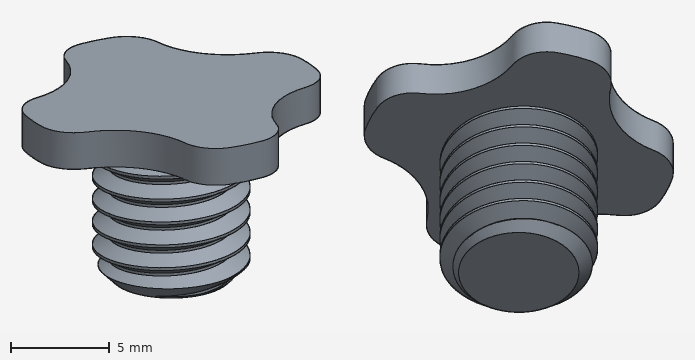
import cadquery as cq
import math

head_width = 13.37
head_height = 2.0
head_radius = 8.0
lobe_corner_radius = 2.0
scallop_radius = 4.49

total_height = 10.0
shank_length = total_height - head_height
thread_diameter = 8.0
thread_radius = thread_diameter / 2
turns_on_shank = 6.4
pitch = shank_length / turns_on_shank
crest_flat = pitch / 8
root_radius = 3.18
tip_radius = 3.05
groove_height_at_x = 0.36
flank_angle = 30
flank_slope = math.tan(math.radians(flank_angle))
turns_below = 2
turns_above = 2
groove_overshoot = 0.07


def scale_to(point, length):
    """Point in the same direction, at the given distance from the origin."""
    factor = length / math.hypot(*point)
    return (point[0] * factor, point[1] * factor)


def rotated(point, angle):
    """Point turned about the Z axis by an angle in degrees."""
    c = math.cos(math.radians(angle))
    s = math.sin(math.radians(angle))
    return (point[0] * c - point[1] * s, point[0] * s + point[1] * c)


def swapped(point):
    """Point mirrored in the X = Y diagonal."""
    return (point[1], point[0])


def make_head():
    center_y = head_width / 2 - lobe_corner_radius
    center_x = math.sqrt((head_radius - lobe_corner_radius) ** 2 - center_y**2)
    center = (center_x, center_y)

    center_gap = scallop_radius + lobe_corner_radius
    scallop_rise = math.sqrt(center_gap**2 - center_x**2)
    scallop_center_y = center_y + scallop_rise
    scallop_bottom = (0, scallop_center_y - scallop_radius)

    share = lobe_corner_radius / center_gap
    scallop_end = (center_x * (1 - share), center_y + scallop_rise * share)
    corner_top = (center_x, head_width / 2)
    tip_start = scale_to(center, head_radius)
    tip_middle = scale_to((1, 1), head_radius)
    scallop_start = (-scallop_end[0], scallop_end[1])

    outline = cq.Workplane("XY").workplane(offset=shank_length).moveTo(*scallop_start)
    arcs = [
        (scallop_bottom, scallop_end),
        (corner_top, tip_start),
        (tip_middle, swapped(tip_start)),
        (swapped(corner_top), swapped(scallop_end)),
    ]
    for angle in (0, -90, -180, -270):
        for middle, end in arcs:
            outline = outline.threePointArc(rotated(middle, angle), rotated(end, angle))
    return outline.close().extrude(head_height)


def make_thread_groove():
    """Helical V groove running past both ends of the shank."""
    start_height = groove_height_at_x - turns_below * pitch
    helix_height = shank_length + (turns_below + turns_above) * pitch
    outer_radius = thread_radius + groove_overshoot
    crest_half_width = (pitch - crest_flat) / 2
    outer_half_width = crest_half_width + groove_overshoot * flank_slope
    root_half_width = crest_half_width - (thread_radius - root_radius) * flank_slope

    corners = [
        (root_radius, -root_half_width),
        (outer_radius, -outer_half_width),
        (outer_radius, outer_half_width),
        (root_radius, root_half_width),
    ]
    edges = []
    for radius, height in corners:
        helix = cq.Wire.makeHelix(pitch, helix_height, radius)
        edges.append(helix.translate(cq.Vector(0, 0, start_height + height)).Edges()[0])

    faces = []
    for index, edge in enumerate(edges):
        faces.append(cq.Face.makeRuledSurface(edges[index - 1], edge))
    for end in (0, 1):
        points = [edge.positionAt(end) for edge in edges]
        faces.append(cq.Face.makeFromWires(cq.Wire.makePolygon(points, close=True)))
    return cq.Workplane(cq.Solid.makeSolid(cq.Shell.makeShell(faces)).fix())


def make_shank():
    threaded = cq.Workplane("XY").circle(thread_radius).extrude(shank_length).cut(make_thread_groove())
    envelope_radius = thread_radius + groove_overshoot
    envelope = (
        cq.Workplane("XY")
        .circle(envelope_radius)
        .extrude(shank_length)
        .faces("<Z")
        .chamfer(envelope_radius - tip_radius)
    )
    return threaded.intersect(envelope)


result = make_head().union(make_shank())